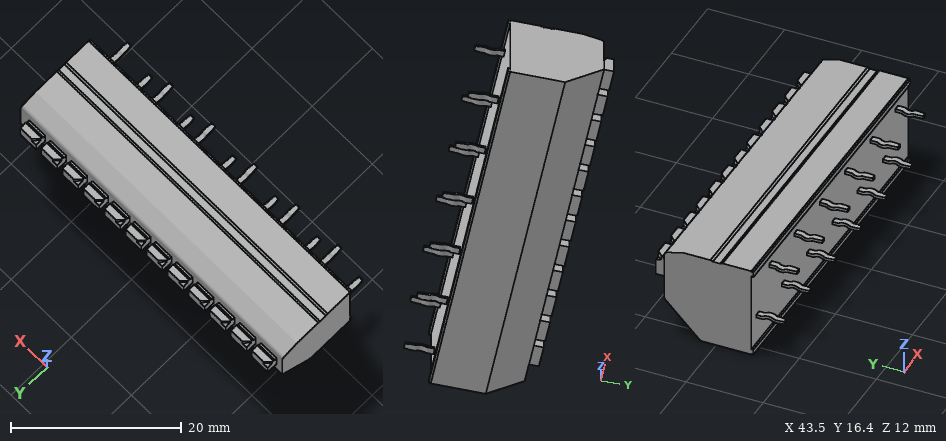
import cadquery as cq
import math


length = 43.5
height = 12.0
back_y = 11.55
recess_depth = 0.25
lip_height = 0.7
lip_inset = 0.1
bottom_bevel = 4.7
top_slope_run = 2.5
top_slope_angle = 15.0
top_back_radius = 0.55

groove_back_y = 5.55
groove_front_y = 4.0
groove_depth = 0.15
groove_side_run = 0.3

pole_count = 12
row_span = 38.5
pitch = row_span / (pole_count - 1)
first_pin_x = 1.8

button_width = 2.65
first_button_x = 0.85
button_reach = 1.52
button_bottom_z = 7.2
button_top_z = 10.05
button_neck_z = 9.5
button_flat_length = 0.9
button_step_run = 0.3
notch_leg = 0.75
notch_front_depth = 0.52
notch_back_depth = 0.83

pin_width = 0.8
pin_thickness = 0.4
pin_reach = 3.3
lower_pin_z = 4.65
pin_row_spacing = 5.0
bend_start_y = -0.52
bend_angle = 35.0
bend_outer_radius = 0.25
bend_crest_radius = 1.1
tip_width = 0.6
taper_length = 0.8


def make_housing():
    slope_drop = top_slope_run * math.tan(math.radians(top_slope_angle))
    body = (
        cq.Workplane("YZ")
        .moveTo(recess_depth, 0)
        .lineTo(back_y - bottom_bevel, 0)
        .lineTo(back_y, bottom_bevel)
        .lineTo(back_y, height - slope_drop)
        .lineTo(back_y - top_slope_run, height)
        .lineTo(groove_back_y, height)
        .lineTo(groove_back_y - groove_side_run, height - groove_depth)
        .lineTo(groove_front_y + groove_side_run, height - groove_depth)
        .lineTo(groove_front_y, height)
        .lineTo(recess_depth, height)
        .close()
        .extrude(length)
    )
    top_back_edge = cq.selectors.NearestToPointSelector((length / 2, back_y, height - slope_drop))
    body = body.edges(top_back_edge).fillet(top_back_radius)
    for lip_bottom in (lip_inset, height - lip_inset - lip_height):
        lip = cq.Workplane("XY").box(length, recess_depth, lip_height, centered=False)
        body = body.union(lip.translate((0, 0, lip_bottom)))
    return body


def make_button():
    """Button with its left side at X = 0."""
    tip_y = back_y + button_reach
    step_y = tip_y - button_flat_length
    button = (
        cq.Workplane("YZ")
        .moveTo(back_y, button_bottom_z)
        .lineTo(tip_y, button_bottom_z)
        .lineTo(tip_y, button_top_z)
        .lineTo(step_y, button_top_z)
        .lineTo(step_y - button_step_run, button_neck_z)
        .lineTo(back_y, button_neck_z)
        .close()
        .extrude(button_width)
    )
    notch_plan = (
        cq.Workplane("XY", origin=(0, 0, button_bottom_z))
        .moveTo(0, tip_y)
        .lineTo(notch_leg, tip_y)
        .lineTo(0, tip_y - notch_leg)
        .close()
        .extrude(button_top_z - button_bottom_z)
    )
    above_floor = (
        cq.Workplane("YZ")
        .moveTo(tip_y, button_top_z)
        .lineTo(tip_y, button_top_z - notch_back_depth)
        .lineTo(tip_y - notch_leg, button_top_z - notch_front_depth)
        .lineTo(tip_y - notch_leg, button_top_z)
        .close()
        .extrude(notch_leg)
    )
    return button.cut(notch_plan.intersect(above_floor))


def make_pin(direction):
    """Pin centred on X = 0, Z = 0, with its bend rising (1) or dipping (-1)."""
    angle = math.radians(bend_angle)
    outer_run = bend_outer_radius * math.sin(angle)
    outer_rise = bend_outer_radius * (1 - math.cos(angle))
    crest_run = bend_crest_radius * math.sin(angle)
    crest_rise = bend_crest_radius * (1 - math.cos(angle))
    outer_end_y = bend_start_y - outer_run
    crest_end_y = outer_end_y - 2 * crest_run
    bend_end_y = crest_end_y - outer_run
    path = (
        cq.Workplane("YZ")
        .moveTo(recess_depth, 0)
        .lineTo(bend_start_y, 0)
        .tangentArcPoint((outer_end_y, direction * outer_rise), relative=False)
        .tangentArcPoint((crest_end_y, direction * outer_rise), relative=False)
        .tangentArcPoint((bend_end_y, 0), relative=False)
        .lineTo(-pin_reach, 0)
    )
    strip = (
        cq.Workplane("XZ", origin=(0, recess_depth, 0))
        .rect(pin_width, pin_thickness)
        .sweep(path)
    )
    taper_y = taper_length - pin_reach
    plan_half_height = outer_rise + crest_rise + pin_thickness
    plan = (
        cq.Workplane("XY")
        .moveTo(-pin_width / 2, recess_depth)
        .lineTo(-pin_width / 2, taper_y)
        .lineTo(-tip_width / 2, -pin_reach)
        .lineTo(tip_width / 2, -pin_reach)
        .lineTo(pin_width / 2, taper_y)
        .lineTo(pin_width / 2, recess_depth)
        .close()
        .extrude(plan_half_height, both=True)
    )
    return strip.intersect(plan)


result = make_housing()
button = make_button()
rising_pin = make_pin(1)
dipping_pin = make_pin(-1)
for pole in range(pole_count):
    result = result.union(button.translate((first_button_x + pole * pitch, 0, 0)))
    pin_x = first_pin_x + pole * pitch
    if pole % 2 == 0:
        pin = rising_pin.translate((pin_x, 0, lower_pin_z))
    else:
        pin = dipping_pin.translate((pin_x, 0, lower_pin_z + pin_row_spacing))
    result = result.union(pin)